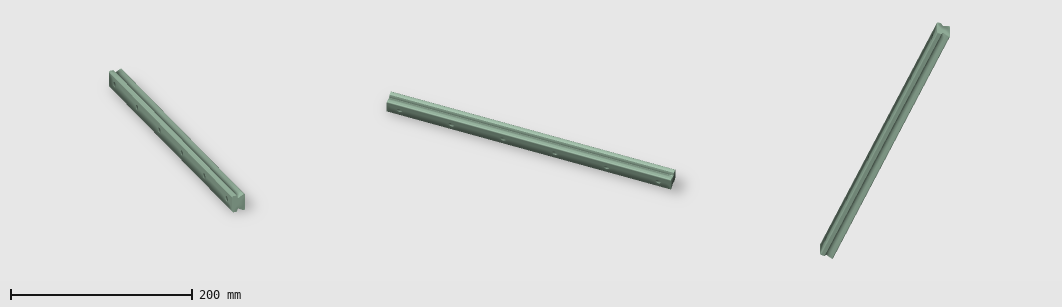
import cadquery as cq

length = 330.0
depth = 15.5
height = 20.0

chamfer_depth = 1.0
chamfer_height = 1.3
flange_land = 5.3

groove_depth = 3.3
groove_floor_start = 7.0
groove_floor_end = 8.0
slope_break = 11.2
slope_break_drop = 1.3

back_radius = 1.3

hole_count = 6
hole_diameter = 6.3
end_distance = 15.0
hole_pitch = (length - 2 * end_distance) / (hole_count - 1)

front = -depth / 2
back = depth / 2
top = height / 2


def make_half_rail():
    """Upper half of the rail, drawn in YZ from the middle plane up."""
    rounding_start = back - back_radius
    rounding_middle = back_radius * 0.5 ** 0.5
    round_center_z = top - back_radius
    return (
        cq.Workplane("YZ")
        .moveTo(front, 0)
        .lineTo(front, top - chamfer_height)
        .lineTo(front + chamfer_depth, top)
        .lineTo(front + flange_land, top)
        .lineTo(front + groove_floor_start, top - groove_depth)
        .lineTo(front + groove_floor_end, top - groove_depth)
        .lineTo(front + slope_break, top - slope_break_drop)
        .lineTo(rounding_start, top)
        .threePointArc(
            (rounding_start + rounding_middle, round_center_z + rounding_middle),
            (back, round_center_z),
        )
        .lineTo(back, 0)
        .close()
        .extrude(length / 2, both=True)
    )


def make_holes():
    """Row of plain holes through the full depth of the rail."""
    return (
        cq.Workplane("XZ", origin=(0, back, 0))
        .rarray(hole_pitch, 3.3, hole_count, 1)
        .circle(hole_diameter / 2)
        .extrude(depth)
    )


upper_half = make_half_rail()
rail = upper_half.union(upper_half.mirror("XY")).clean()
result = rail.cut(make_holes())